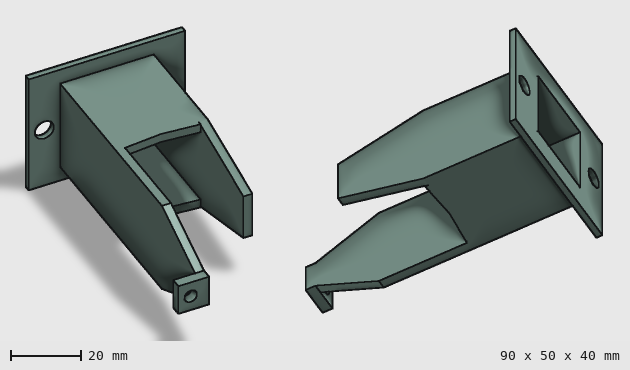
import cadquery as cq

length = 90
flange_width = 50.0
flange_height = 40.0
flange_thickness = 2.0

tube_side = 30.0
wall = 2.9
bore_side = tube_side - 2 * wall
tube_end = 37.1
end_notch_depth = 1.1

long_taper_start = 66.0
short_arm_end = 64.0
short_arm_tip_height = tube_side / 2

tab_thickness = 3.2
tab_height = 10.0
tab_outer_y = -22.0
tab_hole_y = -18
tab_hole_diameter = 4.0

flange_hole_diameter = 6.0
flange_hole_spacing = 40.0

half_side = tube_side / 2
half_bore = bore_side / 2
notch_bottom = tube_end - end_notch_depth
tab_start = length - tab_thickness


def box(x_start, x_end, y_start, y_end, height):
    """Block centred on Z = 0, spanning the given X and Y ranges."""
    block = cq.Workplane("XY").box(x_end - x_start, y_end - y_start, height, centered=(False, False, True))
    return block.translate((x_start, y_start, 0))


def tapered_arm(y_start, taper_start, arm_end, tip_height):
    """Side wall narrowing symmetrically from the tube height to its tip."""
    half_tip = tip_height / 2
    return (
        cq.Workplane("XZ", origin=(0, y_start, 0))
        .moveTo(0, -half_side)
        .lineTo(taper_start, -half_side)
        .lineTo(arm_end, -half_tip)
        .lineTo(arm_end, half_tip)
        .lineTo(taper_start, half_side)
        .lineTo(0, half_side)
        .close()
        .extrude(-wall)
    )


def tube_body():
    """Solid core between the side walls, with a shallow V notch at its end."""
    return (
        cq.Workplane("XY", origin=(0, 0, -half_side))
        .moveTo(0, -half_bore)
        .lineTo(tube_end, -half_bore)
        .lineTo(notch_bottom, 0)
        .lineTo(tube_end, half_bore)
        .lineTo(0, half_bore)
        .close()
        .extrude(tube_side)
    )


flange = box(0, flange_thickness, -flange_width / 2, flange_width / 2, flange_height)
flange_holes = (
    cq.Workplane("YZ")
    .pushPoints([(-flange_hole_spacing / 2, 0), (flange_hole_spacing / 2, 0)])
    .circle(flange_hole_diameter / 2)
    .extrude(flange_thickness)
)

long_arm = tapered_arm(-half_side, long_taper_start, tab_start, tab_height)
short_arm = tapered_arm(half_bore, notch_bottom, short_arm_end, short_arm_tip_height)

tab = box(tab_start, length, tab_outer_y, -half_bore, tab_height)
tab_hole = (
    cq.Workplane("YZ", origin=(tab_start, tab_hole_y, 0))
    .circle(tab_hole_diameter / 2)
    .extrude(tab_thickness)
)

bore = box(0, tube_end, -half_bore, half_bore, bore_side)

result = (
    flange.cut(flange_holes)
    .union(tube_body())
    .union(long_arm)
    .union(short_arm)
    .union(tab.cut(tab_hole))
    .cut(bore)
)